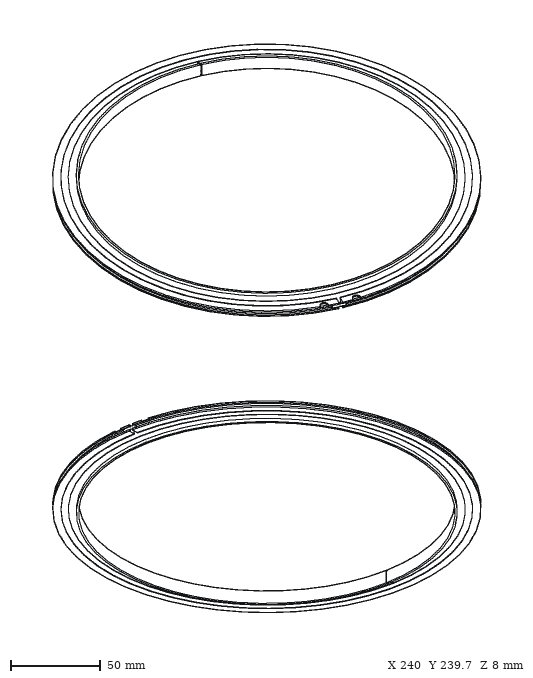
import cadquery as cq

rim_height = 8.0
plate_thickness = 4.0

bore_radius = 105.3
rim_radius = 106.6
centring_plate_radius = 111.1
centring_ring_slit = 0.5

seal_radius = 113.1
seal_section_radius = 2.665

outer_ring_bore_radius = 115.2
outer_radius = 119.85
outer_ring_gap = 2.2
groove_width = 2.0
groove_depth = 1.3

recess_radius = 2.4
recess_depth = 0.8
recess_x = 118.8
recess_y = 9.7

wire_radius = 0.8
wire_centre_radius = outer_radius - groove_depth + wire_radius
wire_start_angle = -2.5
wire_end_angle = 1.5

overshoot = 1.0


def flat_ring(inner_radius, ring_radius, height):
    """Flat ring around Z, centred on the origin."""
    outline = cq.Workplane("XY").circle(ring_radius).circle(inner_radius)
    return outline.extrude(height / 2, both=True)


def radial_slot(direction, width):
    """Slot cutter running from the axis outwards along +X (direction 1) or -X (direction -1)."""
    length = outer_radius + overshoot
    slot = cq.Workplane("XY").box(length, width, rim_height + 2 * overshoot)
    return slot.translate((direction * length / 2, 0, 0))


def make_seal():
    """O-ring of round section."""
    return cq.Workplane("XY").add(cq.Solid.makeTorus(seal_radius, seal_section_radius))


def make_centring_ring(seal):
    """Inner ring with a concave seat for the O-ring and a slit on the -X side."""
    rim = flat_ring(bore_radius, rim_radius, rim_height)
    plate = flat_ring(bore_radius, centring_plate_radius, plate_thickness)
    return rim.union(plate).cut(seal).cut(radial_slot(-1, centring_ring_slit))


def make_outer_ring(seal):
    """Outer ring with a concave seat, an edge groove, two recesses and a gap on the +X side."""
    ring = flat_ring(outer_ring_bore_radius, outer_radius, plate_thickness).cut(seal)
    ring = ring.cut(flat_ring(outer_radius - groove_depth, outer_radius + overshoot, groove_width))
    for side in (-1, 1):
        recess = cq.Workplane("XY", origin=(recess_x, side * recess_y, plate_thickness / 2))
        ring = ring.cut(recess.circle(recess_radius).extrude(-recess_depth))
    return ring.cut(radial_slot(1, outer_ring_gap))


def make_wire_clip():
    """Round wire swept around Z from the start angle to the end angle."""
    section = cq.Workplane("XZ").center(wire_centre_radius, 0).circle(wire_radius)
    axis_start = (-wire_centre_radius, 0, 0)
    axis_end = (-wire_centre_radius, 1, 0)
    arc = section.revolve(wire_end_angle - wire_start_angle, axis_start, axis_end)
    return arc.rotate((0, 0, 0), (0, 0, 1), wire_start_angle)


seal = make_seal()
centring_ring = make_centring_ring(seal)
outer_ring = make_outer_ring(seal)
wire_clip = make_wire_clip()

result = cq.Compound.makeCompound(
    [centring_ring.val(), seal.val(), outer_ring.val(), wire_clip.val()]
)